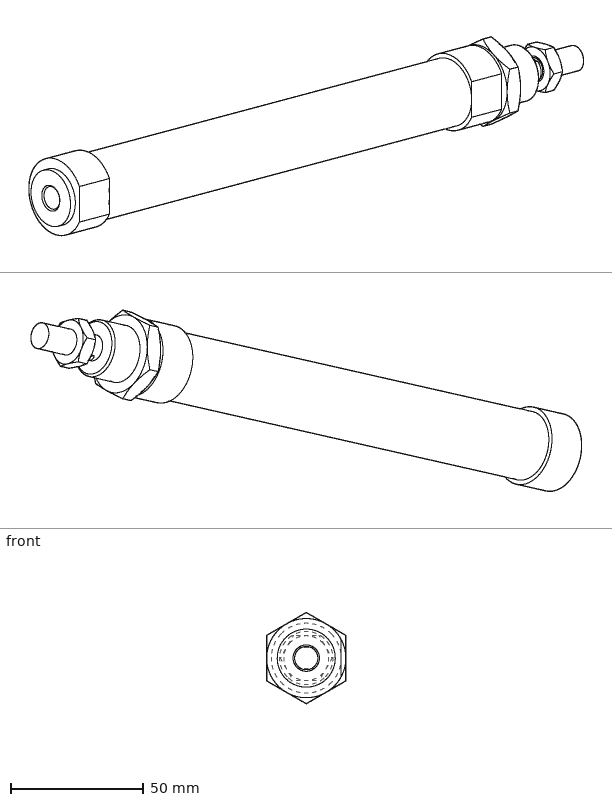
import cadquery as cq
import math

TOTAL_LENGTH = 270.5

BARREL_DIAMETER = 26.5
CAP_DIAMETER = 30.0
CAP_LENGTH = 15.5
CAP_FLAT_OFFSET = BARREL_DIAMETER / 2
NOSE_DIAMETER = 22.0
NOSE_LENGTH = 22.0
NOSE_CHAMFER = 0.9
REAR_BOSS_LENGTH = 2.5

PORT_DIAMETER = 8.8
PORT_MOUTH_DIAMETER = 10.0
PORT_DEPTH = 12.0
PORT_POINT_ANGLE = 118.0

ROD_DIAMETER = 10.0
ROD_PROJECTION = 28.0
THREAD_LENGTH = 20.6
RELIEF_DIAMETER = 8.8
RELIEF_LENGTH = 1.4
WRENCH_WIDTH = 8.0
WRENCH_FLAT_LENGTH = 3.5

ROD_NUT_WIDTH = 17.0
ROD_NUT_HEIGHT = 6.0
NOSE_NUT_WIDTH = 30.0
NOSE_NUT_HEIGHT = 7.0
NOSE_NUT_GAP = 1.2
NUT_CHAMFER_ANGLE = 30.0
CORNERS_ON_X = 0.0
CORNERS_ON_Z = 30.0

rear_cap_start = REAR_BOSS_LENGTH
barrel_start = rear_cap_start + CAP_LENGTH
nose_end = TOTAL_LENGTH - ROD_PROJECTION
nose_start = nose_end - NOSE_LENGTH
barrel_end = nose_start - CAP_LENGTH
rod_end = barrel_end
thread_start = TOTAL_LENGTH - THREAD_LENGTH
shoulder = thread_start - RELIEF_LENGTH


def cylinder(diameter, start, end):
    """Round bar on the Y axis between two stations."""
    bar = cq.Solid.makeCylinder(diameter / 2, end - start, cq.Vector(0, start, 0), cq.Vector(0, 1, 0))
    return cq.Workplane(obj=bar)


def revolve_profile(points):
    """Solid of revolution about Y from (radius, station) points."""
    return cq.Workplane("XY").polyline(points).close().revolve(360, (0, 0, 0), (0, 1, 0))


def make_rear_port():
    mouth_radius = PORT_MOUTH_DIAMETER / 2
    radius = PORT_DIAMETER / 2
    tip = PORT_DEPTH + radius / math.tan(math.radians(PORT_POINT_ANGLE / 2))
    return revolve_profile([
        (0, 0),
        (mouth_radius, 0),
        (radius, mouth_radius - radius),
        (radius, PORT_DEPTH),
        (0, tip),
    ])


def make_cap(start):
    """End cap with one flat on its +X side, flush with the barrel."""
    cap = cylinder(CAP_DIAMETER, start, start + CAP_LENGTH)
    flat_cutter = cq.Workplane("XY").box(
        CAP_DIAMETER, CAP_LENGTH, CAP_DIAMETER, centered=(False, False, True)
    ).translate((CAP_FLAT_OFFSET, start, 0))
    return cap.cut(flat_cutter)


def make_housing():
    nose = cylinder(NOSE_DIAMETER, nose_start, nose_end).faces(">Y").chamfer(NOSE_CHAMFER)
    body = cylinder(BARREL_DIAMETER, barrel_start, barrel_end)
    body = body.union(make_cap(rear_cap_start)).union(make_cap(barrel_end)).union(nose)
    body = body.union(cylinder(NOSE_DIAMETER, 0, rear_cap_start))
    rod_bore = cylinder(ROD_DIAMETER, rod_end, nose_end)
    return body.cut(make_rear_port()).cut(rod_bore)


def make_rod():
    rod = cylinder(ROD_DIAMETER, rod_end, shoulder)
    rod = rod.union(cylinder(RELIEF_DIAMETER, shoulder, thread_start))
    rod = rod.union(cylinder(ROD_DIAMETER, thread_start, TOTAL_LENGTH))
    radius = ROD_DIAMETER / 2
    half_width = WRENCH_WIDTH / 2
    flat_end = shoulder - WRENCH_FLAT_LENGTH
    run_out = flat_end - (radius - half_width)
    for side in (1, -1):
        notch = (
            cq.Workplane("YZ")
            .polyline([
                (shoulder, side * half_width),
                (flat_end, side * half_width),
                (run_out, side * radius),
                (shoulder, side * radius),
            ])
            .close()
            .extrude(radius, both=True)
        )
        rod = rod.cut(notch)
    return rod


def make_nut(width, height, bore, start, corner_turn):
    """Hexagon nut chamfered at both ends; corner_turn sets the angle of its first corner."""
    corner_radius = width / math.sqrt(3)
    face_radius = width / 2
    bevel = (corner_radius - face_radius) * math.tan(math.radians(NUT_CHAMFER_ANGLE))
    hexagon = (
        cq.Workplane("XZ")
        .polygon(6, 2 * corner_radius)
        .extrude(-height)
        .rotate((0, 0, 0), (0, 1, 0), corner_turn)
    )
    envelope = revolve_profile([
        (0, 0),
        (face_radius, 0),
        (corner_radius, bevel),
        (corner_radius, height - bevel),
        (face_radius, height),
        (0, height),
    ])
    nut = hexagon.intersect(envelope).cut(cylinder(bore, 0, height))
    return nut.translate((0, start, 0))


housing = make_housing()
rod = make_rod()
rod_nut = make_nut(ROD_NUT_WIDTH, ROD_NUT_HEIGHT, ROD_DIAMETER, thread_start, CORNERS_ON_X)
nose_nut_start = nose_start + NOSE_NUT_GAP
nose_nut = make_nut(NOSE_NUT_WIDTH, NOSE_NUT_HEIGHT, NOSE_DIAMETER, nose_nut_start, CORNERS_ON_Z)

result = cq.Compound.makeCompound([housing.val(), rod.val(), rod_nut.val(), nose_nut.val()])